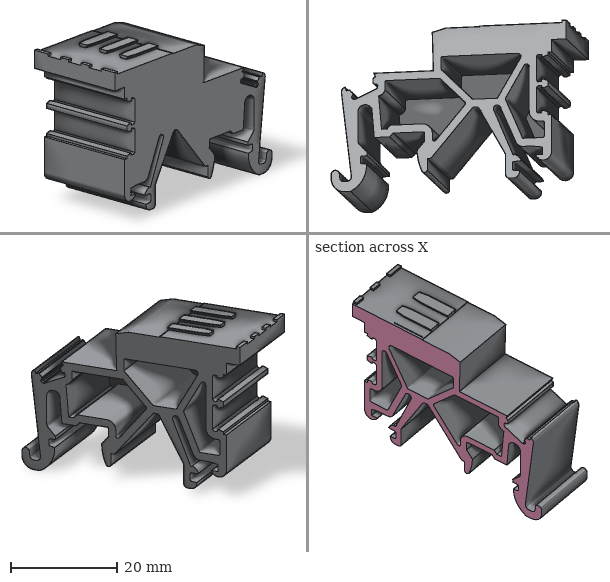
import cadquery as cq
import math


width = 20.0
depth = 45.25
height = 31.37
wall = 1.5

deck_top = 30.75
deck_rear_top = 30.63
deck_underside = 27.55
rim_top = 31.17
rim_depth = 0.83
step_y = 16.73
body_front = 2.82
body_rear = 25.7
rear_shelf_top = 22.54
rear_slope_depth = 2.55
rear_slope_drop = 0.72
rear_draft = 0.1

front_wall = 5.74
rib_pitch = 6.01
rib_middle = 19.17
rib_upper = rib_middle + rib_pitch
rib_lower = rib_middle - rib_pitch
rib_face = 3.5
rib_root_half = 0.68
rib_root_depth = 0.35
rib_neck_half = 0.38
rib_head_half = 0.82
rib_face_half = 0.5
rib_head_rear = 4.75
rib_head_front = 4.3
rib_nose = 3.46

slot_angle = math.radians(23.0)
slot_center = (13.33, 14.72)
slot_half_width = 0.68
slot_length = 9.6

foot_lip = 5.55
prong_rear = 11.7
prong_throat = 10.35
claw_front = 26.75
claw_rear = 27.3
rail_seat = 10.87
rear_block_bottom = 10.17
clip_front = 40.1

key_count = 3
key_pitch = 5.08
key_gap = 3.04
key_front = 8.21
key_taper_start = 10.17
key_width = 2.5
key_tip_width = 1.94
key_undercut = 0.3
key_lip = 0.13


def through(y, z):
    """Point that an arc between its two neighbours passes through."""
    return ("through", y, z)


def corner_ends(before, corner, after, radius):
    """Start, middle and end of the arc of the given radius that rounds a corner."""
    at = cq.Vector(*corner)
    to_before = (cq.Vector(*before) - at).normalized()
    to_after = (cq.Vector(*after) - at).normalized()
    half_angle = to_before.getAngle(to_after) / 2
    reach = radius / math.tan(half_angle)
    bisector = (to_before + to_after).normalized()
    middle = at + bisector * (radius / math.sin(half_angle) - radius)
    points = (at + to_before * reach, middle, at + to_after * reach)
    return [(p.x, p.y) for p in points]


def prism(outline, length):
    """Extrude a closed (y, z) outline along X from the -X side.

    Items are sharp corners (y, z), rounded corners (y, z, radius) or through() points.
    The first and last items are corners, and through() points stand between sharp corners.
    """
    first = outline[0]
    start = first
    if len(first) == 3:
        start = corner_ends(outline[-1][:2], first[:2], outline[1][:2], first[2])[-1]
    sketch = cq.Workplane("YZ", origin=(-width / 2, 0, 0)).moveTo(*start)
    arc_middle = None
    count = len(outline)
    for i in range(1, count + 1):
        previous, item, following = (outline[k % count] for k in (i - 1, i, i + 1))
        if item[0] == "through":
            arc_middle = item[1:]
        elif arc_middle:
            sketch = sketch.threePointArc(arc_middle, item)
            arc_middle = None
        elif len(item) == 3:
            begin, middle, end = corner_ends(previous[:2], item[:2], following[:2], item[2])
            sketch = sketch.lineTo(*begin).threePointArc(middle, end)
        else:
            sketch = sketch.lineTo(*item)
    return sketch.close().extrude(length)


def rib_side(center, side):
    """Wall-to-face outline of one side (+1 upper, -1 lower) of a mushroom rib."""
    return [
        (front_wall, center + side * rib_root_half),
        (front_wall - rib_root_depth, center + side * rib_neck_half, 0.3),
        (rib_head_rear, center + side * rib_neck_half, 0.15),
        (rib_head_rear, center + side * rib_head_half, 0.2),
        (rib_head_front, center + side * rib_head_half, 0.2),
        (rib_face, center + side * rib_face_half),
    ]


def slot_point(along, across):
    """Point of the slanted slot, measured from the centre of its closed end."""
    y, z = slot_center
    return (
        y - along * math.sin(slot_angle) + across * math.cos(slot_angle),
        z - along * math.cos(slot_angle) - across * math.sin(slot_angle),
    )


def front_outline():
    """Deck front and ribbed wall, from the deck step down to the front foot."""
    return [
        (step_y, deck_rear_top),
        (step_y, deck_top),
        (rim_depth, deck_top),
        (rim_depth, rim_top),
        (0, rim_top),
        (0, deck_underside),
        (body_front, deck_underside),
        (body_front, rib_upper),
        (rib_face, rib_upper),
        *reversed(rib_side(rib_upper, -1)),
        *rib_side(rib_middle, 1),
        (rib_nose, rib_middle),
        *reversed(rib_side(rib_middle, -1)),
        *rib_side(rib_lower, 1),
        (rib_face, rib_lower),
        (body_front, rib_lower),
    ]


def foot_outline():
    """Front foot with its hooked lip, and the slanted slot behind it."""
    return [
        (body_front, 6.12),
        through(4.4, 4.47),
        (5.95, foot_lip),
        (4.61, foot_lip),
        (4.61, 6.98, 0.25),
        (6.5, 7.24),
        (9.3, 7.27, 1.4),
        slot_point(0, -slot_half_width),
        through(*slot_point(-slot_half_width, 0)),
        slot_point(0, slot_half_width),
        (*slot_point(slot_length, slot_half_width), 0.2),
    ]


def prong_outline():
    """Springy prong with two catch noses, and the gap between it and the claw."""
    return [
        (9.9, 5.88),
        through(9.2, 5.4),
        (8.6, 4.57),
        (9.2, 4.45),
        (prong_throat, 4.45, 0.35),
        (prong_throat, 2.78, 0.25),
        (9.0, 2.63),
        (9.0, 2.35),
        through(9.53, 1.44),
        (10.05, 1.25),
        (10.8, 1.25),
        through(11.45, 1.5),
        (prong_rear, 2.1),
        (prong_rear, 5.9),
        (17.34, 15.9, 0.9),
        (26.05, 5.7, 0.5),
    ]


def claw_outline():
    """Pointed claw, the rail seat and the block behind it."""
    return [
        (claw_front, 5.7),
        (claw_front, 3.45),
        through(27.28, 3.03),
        (27.85, 3.45),
        through(28.45, 5.2),
        (28.72, 7.4),
        (claw_rear, 9.0),
        (claw_rear, rail_seat, 0.3),
        (33.3, rail_seat),
        (34.0, rear_block_bottom),
        (36.95, rear_block_bottom, 0.25),
        (37.35, 15.1),
        through(38.75, 16.55),
        (clip_front, 15.3),
    ]


def clip_outline():
    """Rear clip arm with its catch nose and the round hook below."""
    return [
        (clip_front, 9.25, 1.2),
        (38.3, 7.4),
        (38.3, 6.75),
        (39.58, 6.68, 0.2),
        (39.58, 5.35, 0.2),
        (38.45, 5.1),
        through(39.2, 2.1),
        (41.5, 0),
        (depth, 0, 2.6),
        (depth, 3.4),
        through(44.45, 4.2),
        (43.68, 3.5),
        (43.5, 1.97, 0.75),
        (41.27, 1.97, 0.85),
        (43.27, 18.9),
        through(43.15, 19.65),
        (42.6, 20.07),
    ]


def latch_outline():
    """Serrated marker seat on top of the clip arm, up to the rear shelf."""
    return [
        (42.35, 19.4),
        (41.8, 19.52),
        (41.65, 19.45),
        (41.08, 18.8),
        (41.05, 18.6),
        (41.35, 18.1),
        (41.2, 17.85),
        (40.95, 17.67),
        (40.65, 17.65),
        (36.55, 19.52),
        through(36.3, 20.0),
        (36.5, 20.4),
        (37.2, 20.5, 0.3),
        (37.2, 21.55),
        (36.75, 21.85),
        (37.05, rear_shelf_top),
        (body_rear - rear_draft, rear_shelf_top),
        (body_rear + rear_draft, deck_rear_top - rear_slope_drop),
        (body_rear - rear_slope_depth, deck_rear_top),
    ]


def make_body():
    outline = (
        front_outline()
        + foot_outline()
        + prong_outline()
        + claw_outline()
        + clip_outline()
        + latch_outline()
    )
    return prism(outline, width)


def make_pockets():
    """Three blind pockets, open on the -X side."""
    upper = [
        (18.03, 16.71, 0.4),
        (24.12, 22.75),
        (24.12, rib_upper, 0.4),
        (8.26, rib_upper, 0.65),
        (13.25, 16.71, 0.2),
    ]
    rear = [
        (33.9, 12.4),
        (34.55, 11.7),
        (35.55, 11.7),
        (36.1, 18.08),
        through(35.2, 18.65),
        (34.85, 19.2),
        (34.85, 21.01, 0.25),
        (24.35, 21.01),
        (19.3, 15.96, 0.35),
        (25.75, 8.35, 0.4),
        (25.75, 12.4, 2.0),
    ]
    front = [
        (8.38, 8.8, 0.2),
        (11.75, 16.55, 0.3),
        (7.13, 24.5, 0.54),
        (7.13, 11.97, 2.0),
        (4.21, 11.97, 0.35),
        (4.21, 8.8, 0.4),
    ]
    pocket_depth = width - wall
    pockets = cq.Workplane("XY")
    for outline in (upper, rear, front):
        pockets = pockets.add(prism(outline, pocket_depth))
    return pockets.combine()


def key_section(x, y, top_width):
    """Undercut section across a key, with an upright lip along its top."""
    half_top = top_width / 2
    half_bottom = half_top - key_undercut
    lip_z = height - key_lip
    corners = [
        (-half_bottom, deck_top),
        (half_bottom, deck_top),
        (half_top, lip_z),
        (half_top, height),
        (-half_top, height),
        (-half_top, lip_z),
    ]
    return cq.Wire.makePolygon([cq.Vector(x + dx, y, z) for dx, z in corners], close=True)


def make_key(x):
    """Straight key with a tapered tip pointing to the front."""
    rear = key_section(x, step_y, key_width)
    shoulder = key_section(x, key_taper_start, key_width)
    front = key_section(x, key_front, key_tip_width)
    return cq.Solid.makeLoft([rear, shoulder, front], True)


def rim_notch(x):
    notch = cq.Workplane("XY").box(key_gap, rim_depth, rim_top - deck_top, centered=(True, False, False))
    return notch.translate((x, 0, deck_top))


def key_positions():
    return [(index - (key_count - 1) / 2) * key_pitch for index in range(key_count)]


result = make_body().cut(make_pockets())
for key_x in key_positions():
    result = result.cut(rim_notch(key_x))
for key_x in key_positions():
    result = result.union(cq.Workplane(make_key(key_x)), clean=False)